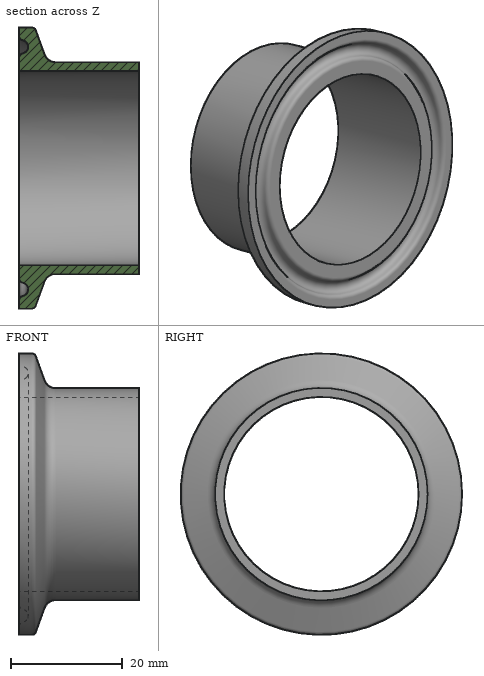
import cadquery as cq
import math

length = 21.5
flange_radius = 50.5 / 2
tube_radius = 38.1 / 2
bore_radius = 34.8 / 2

rim_width = 2.25
rim_round = 0.8
neck_fillet = 2.0
cone_slope = 70

groove_radius = 21.75
groove_depth = 1.6
groove_floor_round = 1.15
groove_lip_round = 0.8
wall_slope = 70
cut_clearance = 0.5


def arc_point(center, radius, angle):
    """Point (axial, radial) on a circle; the angle is in degrees from +X."""
    turn = math.radians(angle)
    return (center[0] + radius * math.cos(turn), center[1] + radius * math.sin(turn))


def add_arc(profile, center, radius, start, end):
    """Draw a line to the arc's start, then the arc itself."""
    middle = (start + end) / 2
    return profile.lineTo(*arc_point(center, radius, start)).threePointArc(
        arc_point(center, radius, middle), arc_point(center, radius, end)
    )


def make_body():
    rim_center = (rim_width, flange_radius - rim_round)
    radial_gap = rim_center[1] - (tube_radius + neck_fillet)
    slope = math.radians(cone_slope)
    center_gap = (rim_round + neck_fillet + radial_gap * math.cos(slope)) / math.sin(slope)
    neck_center = (rim_width + center_gap, tube_radius + neck_fillet)

    cone_normal = 90 - cone_slope
    profile = cq.Workplane("XY").moveTo(0, bore_radius).lineTo(0, flange_radius)
    profile = add_arc(profile, rim_center, rim_round, 90, cone_normal)
    profile = add_arc(profile, neck_center, neck_fillet, 180 + cone_normal, 270)
    profile = profile.lineTo(length, tube_radius).lineTo(length, bore_radius).close()
    return profile.revolve(360, (0, 0, 0), (1, 0, 0))


def make_groove():
    slope = math.radians(wall_slope)
    round_sum = groove_floor_round + groove_lip_round
    wall_depth = groove_depth - round_sum * (1 - math.cos(slope))
    half_width = round_sum * math.sin(slope) + wall_depth / math.tan(slope)

    inner_lip = (groove_lip_round, groove_radius - half_width)
    outer_lip = (groove_lip_round, groove_radius + half_width)
    floor_center = (groove_depth - groove_floor_round, groove_radius)

    profile = cq.Workplane("XY").moveTo(-cut_clearance, inner_lip[1])
    profile = add_arc(profile, inner_lip, groove_lip_round, 180, 180 - wall_slope)
    profile = add_arc(profile, floor_center, groove_floor_round, -wall_slope, wall_slope)
    profile = add_arc(profile, outer_lip, groove_lip_round, 180 + wall_slope, 180)
    profile = profile.lineTo(-cut_clearance, outer_lip[1]).close()
    return profile.revolve(360, (0, 0, 0), (1, 0, 0))


result = make_body().cut(make_groove())